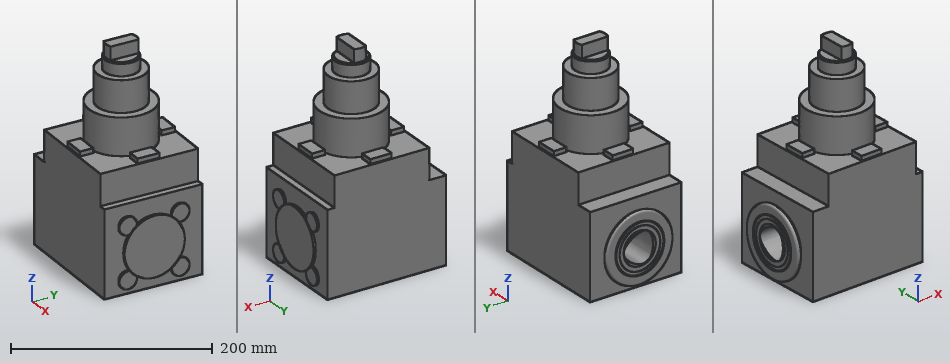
import cadquery as cq
import math

body_width = 112.0
lower_x_min = -76.0
lower_x_max = 64.2
lower_height = 100.0
body_height = 136.0

pad_length = 25.0
pad_depth = 15.3
pad_center_radius = 46.7
pad_height = 5.5

shank_steps = [(75.0, 179.0), (55.0, 215.5), (38.0, 230.7)]
collar_chamfer = 1.5
total_height = 246.0
tang_thickness = 14.0

side_axis_z = 46.0

neck_diameter = 74.8
neck_length = 3.2
flange_diameter = 82.0
flange_thickness = 4.0
flange_fillet = 2.5

groove_outer_diameter = 59.5
groove_inner_diameter = 58.0
groove_depth = 0.5
recess_diameter = 50.0
recess_depth = 0.2
mouth_diameter = 39.0
mouth_depth = 0.7

lobe_offset = 8.9
lobe_radius = 10.5
side_reach = 16.5
socket_depth = 39.4
socket_taper = 1.4

cover_diameter = 69.0
cover_thickness = 2.7
bolt_head_diameter = 20.2
bolt_head_height = 2.2
bolt_spacing = 60.0

flange_face_x = lower_x_min - neck_length - flange_thickness


def side_plane(x):
    """Plane normal to +X on the side axis, with local x along Y and local y along Z."""
    return cq.Workplane("YZ", origin=(x, 0, side_axis_z))


def make_body():
    lower = cq.Workplane("XY").box(
        lower_x_max - lower_x_min, body_width, lower_height, centered=(False, True, False)
    ).translate((lower_x_min, 0, 0))
    upper = cq.Workplane("XY").box(body_width, body_width, body_height, centered=(True, True, False))
    return lower.union(upper)


def make_pads():
    return (
        cq.Workplane("XY", origin=(0, 0, body_height))
        .polarArray(pad_center_radius, 0, 360, 4)
        .rect(pad_depth, pad_length)
        .extrude(pad_height)
    )


def make_shank():
    shank = cq.Workplane("XY")
    base = body_height
    for diameter, top in shank_steps:
        shank = shank.union(cq.Workplane("XY", origin=(0, 0, base)).circle(diameter / 2).extrude(top - base))
        base = top
    shank = shank.faces(">Z").edges().chamfer(collar_chamfer)

    collar_diameter, base = shank_steps[-1]
    tang_length = collar_diameter - 2 * collar_chamfer
    tang_height = total_height - base
    tang = cq.Workplane("XY", origin=(0, 0, base)).circle(tang_length / 2).extrude(tang_height)
    slab = cq.Workplane("XY", origin=(0, 0, base)).rect(tang_thickness, tang_length).extrude(tang_height)
    return shank.union(tang.intersect(slab))


def make_flange():
    neck = side_plane(lower_x_min).circle(neck_diameter / 2).extrude(-neck_length)
    disc = side_plane(flange_face_x).circle(flange_diameter / 2).extrude(flange_thickness)
    disc = disc.faces("<X").edges().fillet(flange_fillet)
    return neck.union(disc)


def polar(radius, degrees, center=(0, 0)):
    angle = math.radians(degrees)
    return (center[0] + radius * math.cos(angle), center[1] + radius * math.sin(angle))


def make_socket():
    half_spacing = lobe_offset * math.sin(math.radians(60))
    bulge = side_reach - lobe_radius - lobe_offset * math.cos(math.radians(60))
    half_span = math.degrees(2 * math.atan2(bulge, half_spacing))
    wide_radius = lobe_radius + half_spacing / math.sin(math.radians(half_span))
    wide_offset = side_reach - wide_radius
    lobe_half_span = 60 - half_span

    start = polar(lobe_radius, -lobe_half_span, (lobe_offset, 0))
    outline = side_plane(flange_face_x).moveTo(*start)
    for direction in (0, 120, 240):
        lobe_center = polar(lobe_offset, direction)
        side = direction + 60
        wide_center = polar(wide_offset, side)
        outline = outline.threePointArc(
            polar(lobe_radius, direction, lobe_center),
            polar(lobe_radius, direction + lobe_half_span, lobe_center),
        ).threePointArc(
            polar(wide_radius, side, wide_center),
            polar(wide_radius, side + half_span, wide_center),
        )
    return outline.close().extrude(socket_depth, taper=socket_taper)


def make_face_steps():
    groove = (
        side_plane(flange_face_x)
        .circle(groove_outer_diameter / 2)
        .circle(groove_inner_diameter / 2)
        .extrude(groove_depth)
    )
    recess = side_plane(flange_face_x).circle(recess_diameter / 2).extrude(recess_depth)
    mouth = side_plane(flange_face_x).circle(mouth_diameter / 2).extrude(mouth_depth)
    return groove.union(recess).union(mouth)


def make_cover():
    disc = side_plane(lower_x_max).circle(cover_diameter / 2).extrude(cover_thickness)
    heads = (
        side_plane(lower_x_max)
        .rarray(bolt_spacing, bolt_spacing, 2, 2)
        .circle(bolt_head_diameter / 2)
        .extrude(bolt_head_height)
    )
    return disc.union(heads)


result = make_body()
for feature in (make_pads(), make_shank(), make_flange(), make_cover()):
    result = result.union(feature)
result = result.cut(make_face_steps()).cut(make_socket())